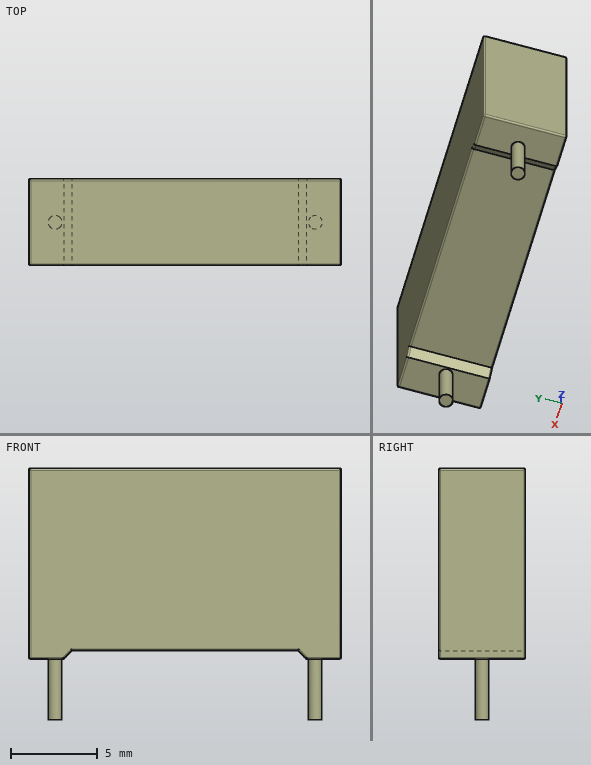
import cadquery as cq

body_length = 18.0
body_width = 5.0
body_height = 11.0
edge_radius = 0.1

foot_length = 2.0
recess_depth = 0.49

lead_diameter = 0.8
lead_spacing = 15.0
lead_length = 3.51
lead_embed = 0.9


def make_body():
    """Box with a trapezoidal recess (45 degree ends) underneath and all edges rounded."""
    half_length = body_length / 2
    recess_mouth = half_length - foot_length
    recess_roof = recess_mouth - recess_depth
    profile = [
        (-half_length, 0),
        (-recess_mouth, 0),
        (-recess_roof, recess_depth),
        (recess_roof, recess_depth),
        (recess_mouth, 0),
        (half_length, 0),
        (half_length, body_height),
        (-half_length, body_height),
    ]
    block = cq.Workplane("XZ").polyline(profile).close().extrude(body_width / 2, both=True)

    rounded_edges = block.faces("<Y or >Y or <X or >X").edges()
    return rounded_edges.fillet(edge_radius)


def make_leads():
    """Two vertical round leads, centred across the width of the body."""
    return (
        cq.Workplane("XY", origin=(0, 0, -lead_length))
        .pushPoints([(-lead_spacing / 2, 0), (lead_spacing / 2, 0)])
        .circle(lead_diameter / 2)
        .extrude(lead_length + lead_embed)
    )


result = make_body().union(make_leads())